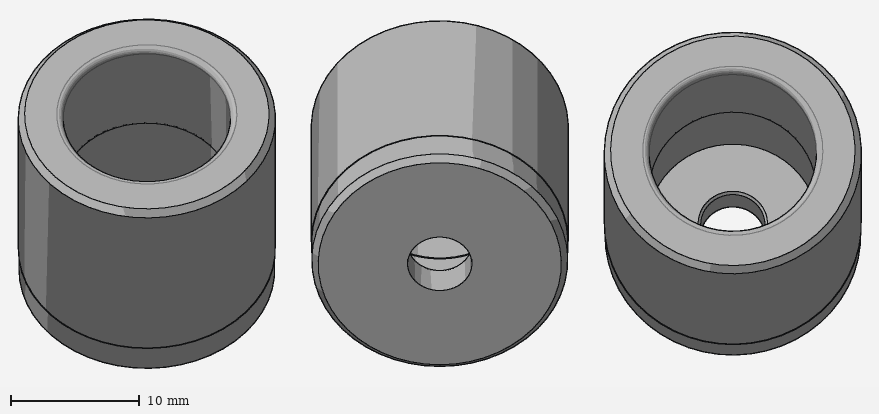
import cadquery as cq

outer_diameter = 20.0
height = 19.5
edge_chamfer = 0.5

base_diameter = 19.9
base_height = 3.0

bore_diameter = 13.0
bore_depth = 9.0
mouth_radius = 0.5

relief_diameter = 13.2
floor_height = base_height

hole_diameter = 5.0
hole_chamfer = 0.2


def make_body():
    base = cq.Workplane("XY").circle(base_diameter / 2).extrude(base_height)
    base = base.faces("<Z").chamfer(edge_chamfer)
    sleeve = (
        cq.Workplane("XY", origin=(0, 0, base_height))
        .circle(outer_diameter / 2)
        .extrude(height - base_height)
        .faces(">Z")
        .chamfer(edge_chamfer)
    )
    return base.union(sleeve)


def cut_bore(body):
    bored = body.faces(">Z").workplane().hole(bore_diameter, bore_depth)
    mouth_edge = cq.selectors.RadiusNthSelector(0)
    return bored.faces(">Z").edges(mouth_edge).fillet(mouth_radius)


def cut_relief(body):
    relief_top = height - bore_depth
    relief = (
        cq.Workplane("XY", origin=(0, 0, floor_height))
        .circle(relief_diameter / 2)
        .extrude(relief_top - floor_height)
    )
    return body.cut(relief)


def cut_through_hole(body):
    hole = cq.Workplane("XY").circle(hole_diameter / 2).extrude(floor_height)
    countersink = cq.Solid.makeCone(
        hole_diameter / 2,
        hole_diameter / 2 + hole_chamfer,
        hole_chamfer,
        pnt=cq.Vector(0, 0, floor_height - hole_chamfer),
    )
    return body.cut(hole).cut(cq.Workplane(countersink))


result = cut_through_hole(cut_relief(cut_bore(make_body())))